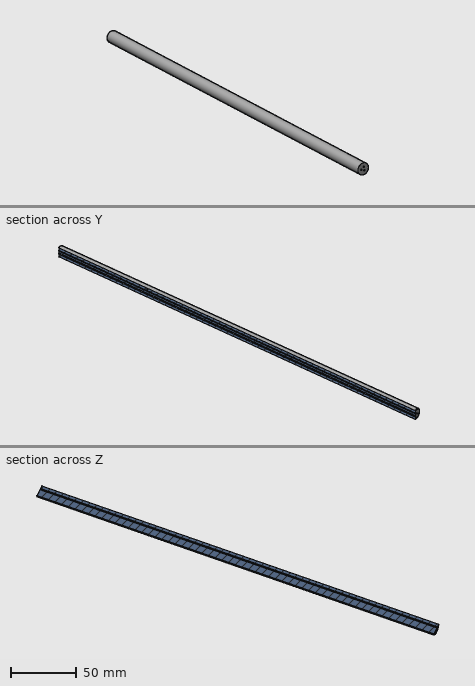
import cadquery as cq

ROD_LENGTH = 330.0
ROD_DIAMETER = 10.0
LEAD_CHAMFER = 0.5
CHANNEL_COUNT = 3
CHANNEL_DIAMETER = 0.9
CHANNEL_CIRCLE_DIAMETER = 3.5
FIRST_CHANNEL_ANGLE = 70.0
FULL_TURN = 360.0


def lead_end_plane():
    """Sketch plane on the -X end of the rod; the rod axis is the X axis."""
    return cq.Workplane("YZ", origin=(-ROD_LENGTH / 2, 0, 0))


def make_rod():
    """Round rod centred on the origin, chamfered at the -X end and square at the +X end."""
    rod = lead_end_plane().circle(ROD_DIAMETER / 2).extrude(ROD_LENGTH)
    return rod.faces("<X").chamfer(LEAD_CHAMFER)


def make_channels():
    """Straight channels, evenly spaced around the axis, running the full length of the rod."""
    return (
        lead_end_plane()
        .polarArray(CHANNEL_CIRCLE_DIAMETER / 2, FIRST_CHANNEL_ANGLE, FULL_TURN, CHANNEL_COUNT)
        .circle(CHANNEL_DIAMETER / 2)
        .extrude(ROD_LENGTH)
    )


result = make_rod().cut(make_channels())